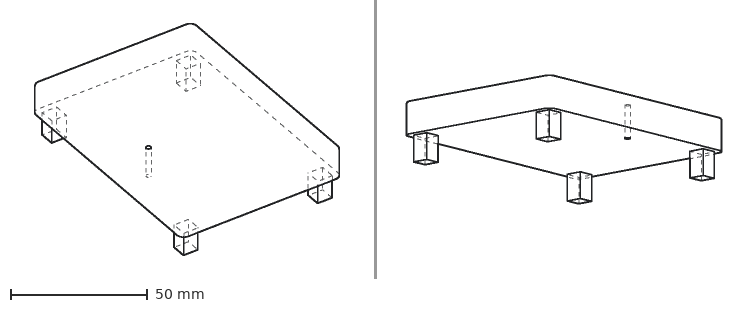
import cadquery as cq

length = 98.0
width = 71.0
total_height = 22.5
leg_height = 10.0
body_height = total_height - leg_height
corner_radius = 3.0
top_edge_fillet = 1.0

leg_side = 6.4
leg_inset = 2.7

hole_diameter = 2.0
hole_x = 8.8
hole_y = -22.9


def make_body():
    """Block with rounded corners and a softened top edge; its underside is at Z = 0."""
    block = cq.Workplane("XY").box(length, width, body_height, centered=(True, True, False))
    return block.edges("|Z").fillet(corner_radius).faces(">Z").edges().fillet(top_edge_fillet)


def make_legs():
    """Four square legs hanging below the body."""
    spacing_x = length - 2 * leg_inset - leg_side
    spacing_y = width - 2 * leg_inset - leg_side
    return (
        cq.Workplane("XY")
        .rarray(spacing_x, spacing_y, 2, 2)
        .rect(leg_side, leg_side)
        .extrude(-leg_height)
    )


def make_hole():
    """Cutter for the vertical hole through the body."""
    return (
        cq.Workplane("XY")
        .center(hole_x, hole_y)
        .circle(hole_diameter / 2)
        .extrude(body_height)
    )


result = make_body().union(make_legs()).cut(make_hole())